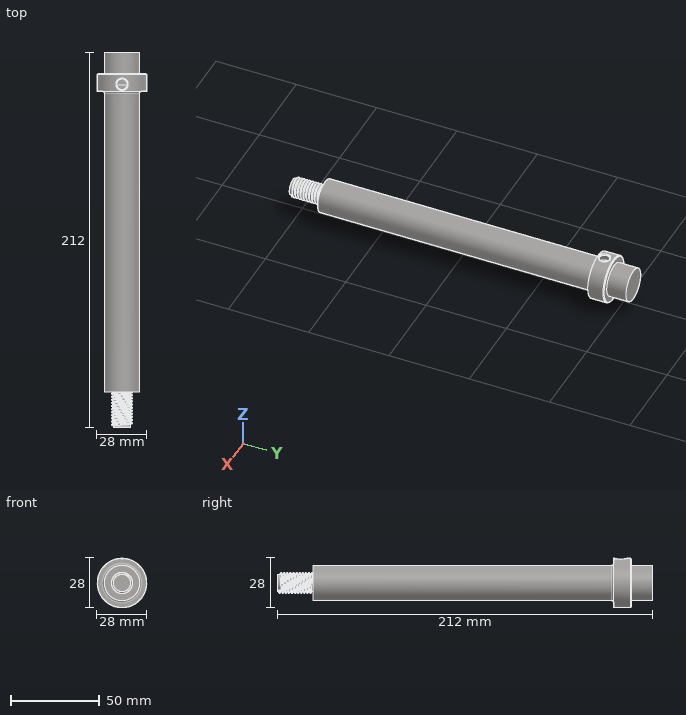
import cadquery as cq
import math

rod_diameter = 20.0
rod_length = 170.0

collar_diameter = 28.0
collar_length = 10.0
collar_rear_chamfer = 0.5
collar_root_fillet = 1.2

stud_diameter = 12.0
stud_length = 20.0
thread_pitch = 1.75
thread_flank_angle = 30.0
thread_depth = 1.1
thread_crest_width = thread_pitch / 8
thread_runout = 0.2
thread_overlap = 0.1

pin_diameter = rod_diameter
pin_projection = 12.0
socket_depth = 6.5

screw_hole_diameter = 6.0
screw_hole_countersink = 7.0
screw_hole_setback = 6.0

rod_radius = rod_diameter / 2
collar_radius = collar_diameter / 2
collar_front = rod_length
collar_rear = collar_front + collar_length
stud_radius = stud_diameter / 2
core_radius = stud_radius - thread_depth
socket_floor = collar_rear - socket_depth
screw_hole_y = collar_rear - screw_hole_setback
ORIGIN = (0, 0, 0)


def cylinder_along_y(diameter, y_start, y_end):
    """Solid cylinder on the Y axis between two Y positions."""
    base = cq.Workplane("XZ", origin=(0, y_start, 0))
    return base.circle(diameter / 2).extrude(-(y_end - y_start))


def make_rod_blank():
    """Rod, root fillet and collar turned from one profile of (Y, radius) points."""
    fillet = collar_root_fillet
    chamfer = collar_rear_chamfer
    fillet_sag = fillet * (1 - math.sqrt(0.5))
    profile = (
        cq.Workplane("YZ")
        .moveTo(0, 0)
        .lineTo(0, rod_radius)
        .lineTo(collar_front - fillet, rod_radius)
        .threePointArc(
            (collar_front - fillet_sag, rod_radius + fillet_sag),
            (collar_front, rod_radius + fillet),
        )
        .lineTo(collar_front, collar_radius)
        .lineTo(collar_rear - chamfer, collar_radius)
        .lineTo(collar_rear, collar_radius - chamfer)
        .lineTo(collar_rear, 0)
        .close()
    )
    return profile.revolve(360, ORIGIN, (1, 0, 0))


def make_thread_ridge():
    """Right-hand helical ridge that runs from the shoulder toward the free end."""
    ridge_foot = core_radius - thread_overlap
    crest_half = thread_crest_width / 2
    foot_half = crest_half + (stud_radius - ridge_foot) * math.tan(math.radians(thread_flank_angle))
    helix_length = stud_length - thread_runout - foot_half
    helix = cq.Wire.makeHelix(thread_pitch, helix_length, core_radius)
    ridge = (
        cq.Workplane("XZ")
        .moveTo(ridge_foot, -foot_half)
        .lineTo(stud_radius, -crest_half)
        .lineTo(stud_radius, crest_half)
        .lineTo(ridge_foot, foot_half)
        .close()
        .sweep(cq.Workplane(obj=helix), isFrenet=True)
    )
    return ridge.rotate(ORIGIN, (1, 0, 0), 90)


def make_screw_hole_cutter():
    """Countersunk cutter that runs from the collar surface down to the pin and rod diameter."""
    countersink_depth = (screw_hole_countersink - screw_hole_diameter) / 2
    rim_z = math.sqrt(collar_radius**2 - (screw_hole_countersink / 2) ** 2)
    profile = (
        cq.Workplane("XZ", origin=(0, screw_hole_y, 0))
        .lineTo(screw_hole_diameter / 2, 0)
        .lineTo(screw_hole_diameter / 2, rim_z - countersink_depth)
        .lineTo(screw_hole_countersink / 2, rim_z)
        .lineTo(screw_hole_countersink / 2, collar_radius)
        .lineTo(0, collar_radius)
        .close()
    )
    drill = profile.revolve(360, ORIGIN, (0, 1, 0))
    kept_rod = cylinder_along_y(rod_diameter, collar_front, collar_rear)
    return drill.cut(kept_rod)


def make_extension_rod():
    """Rod with collar, threaded stud, rear socket and set-screw hole."""
    stud_core = cylinder_along_y(2 * core_radius, -stud_length, 0)
    socket = cylinder_along_y(pin_diameter, socket_floor, collar_rear)
    turned = make_rod_blank().cut(socket).cut(make_screw_hole_cutter())
    return turned.union(stud_core).union(make_thread_ridge())


def make_pin():
    """Plain pin seated on the socket floor."""
    return cylinder_along_y(pin_diameter, socket_floor, collar_rear + pin_projection)


extension_rod = make_extension_rod()
pin = make_pin()

result = cq.Compound.makeCompound([extension_rod.val(), pin.val()])